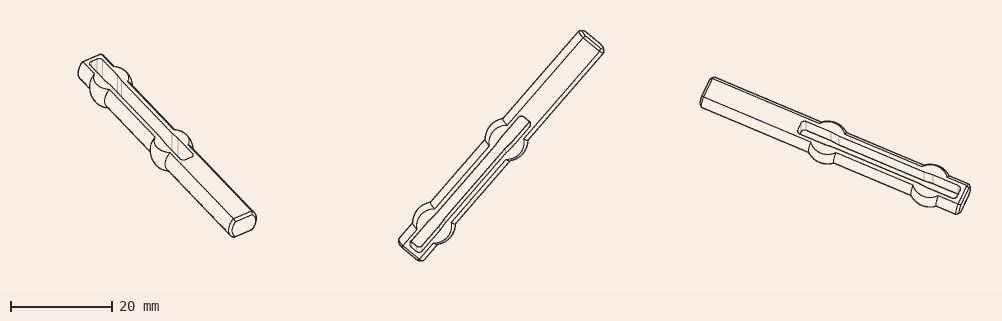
import cadquery as cq

bar_length = 56.25
bar_diameter = 6.6
bar_height = 5.0
end_chamfer = 0.5

ball_diameter = 8.55
first_ball_x = 7.55
ball_spacing = 22.2
second_ball_x = first_ball_x + ball_spacing

slot_start_x = 1.35
slot_end_x = 35.9
slot_narrow_width = 2.6
slot_wide_width = 2.9
slot_taper_length = 1.85
slot_corner_radius = 0.8


def flat_slab():
    """Slab between the two flats, wide enough to contain the balls."""
    slab = cq.Workplane("XY").box(bar_length, ball_diameter, bar_height)
    return slab.translate((bar_length / 2, 0, 0))


def bar():
    round_bar = cq.Workplane("YZ").circle(bar_diameter / 2).extrude(bar_length)
    return round_bar.intersect(flat_slab()).faces("<X or >X").chamfer(end_chamfer)


def ball(center_x):
    sphere = cq.Workplane("XY").sphere(ball_diameter / 2).translate((center_x, 0, 0))
    return sphere.intersect(flat_slab())


def slot():
    wide_y = slot_wide_width / 2
    narrow_y = slot_narrow_width / 2
    upper_side = [
        (slot_start_x, wide_y),
        (first_ball_x, wide_y),
        (first_ball_x + slot_taper_length, narrow_y),
        (second_ball_x - slot_taper_length, narrow_y),
        (second_ball_x, wide_y),
        (slot_end_x, wide_y),
    ]
    lower_side = [(x, -y) for x, y in reversed(upper_side)]
    outline = cq.Workplane("XY").polyline(upper_side + lower_side).close()
    prism = outline.extrude(bar_height / 2, both=True)
    return prism.edges("|Z and (<X or >X)").fillet(slot_corner_radius)


body = bar()
for ball_x in (first_ball_x, second_ball_x):
    body = body.union(ball(ball_x))

result = body.cut(slot())